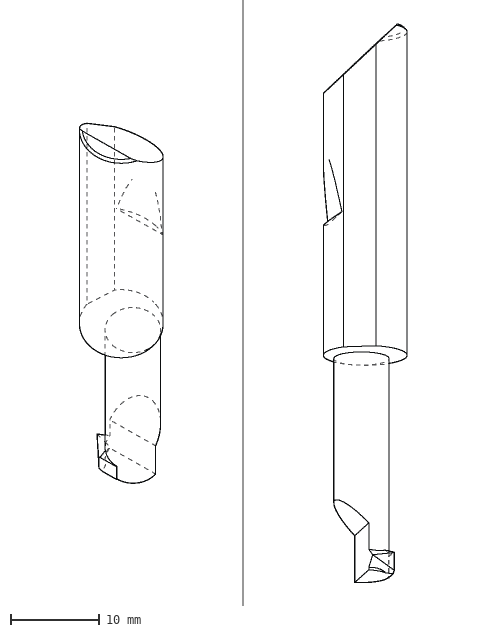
import cadquery as cq
import math

length = 63.5
shank_radius = 4.75
shank_bottom = 25.4
end_chamfer = 0.3
slope_start_y = -2.9

flat_half_angle = 23.0
flat_direction = 180.0 - flat_half_angle
flat_distance = shank_radius * math.cos(math.radians(flat_half_angle))

notch_floor_y = 3.55
notch_floor_z = 41.2
notch_top_z = 48.8
notch_bottom_z = 40.45

neck_radius = 3.2
neck_x = shank_radius - neck_radius
neck_front_depth = 3.1
relief_z = 5.45

tip_x = -3.35
tip_z = 1.35
tip_slope = 0.6
tip_top = 2.9
tip_clearance = 0.45
tip_front_x = -0.9


def x_prism(points):
    """Cutter with a YZ outline, reaching across the full shank width."""
    return cq.Workplane("YZ").polyline(points).close().extrude(shank_radius, both=True)


def make_shank():
    height = length - shank_bottom
    shank = cq.Workplane("XY").workplane(offset=shank_bottom).circle(shank_radius).extrude(height)
    shank = shank.faces(">Z").chamfer(end_chamfer)

    flat_cutter = (
        cq.Workplane("XY")
        .box(shank_radius, 2 * shank_radius, length, centered=(False, True, False))
        .translate((flat_distance, 0, 0))
        .rotate((0, 0, 0), (0, 0, 1), flat_direction)
    )
    slope_drop = shank_radius - slope_start_y
    slope_cutter = x_prism([
        (slope_start_y, length),
        (shank_radius, length - slope_drop),
        (shank_radius, length),
    ])
    notch_cutter = x_prism([
        (shank_radius, notch_top_z),
        (notch_floor_y, notch_floor_z),
        (shank_radius, notch_bottom_z),
    ])
    return shank.cut(flat_cutter).cut(slope_cutter).cut(notch_cutter)


def make_neck():
    neck = (
        cq.Workplane("XY")
        .moveTo(shank_radius, 0)
        .threePointArc((neck_x, neck_radius), (neck_x - neck_radius, 0))
        .threePointArc((neck_x, -neck_front_depth), (shank_radius, 0))
        .close()
        .extrude(shank_bottom)
    )
    relief_cutter = x_prism([
        (0, 0),
        (0, relief_z),
        (neck_radius, relief_z + neck_radius),
        (neck_radius, 0),
    ])
    return neck.cut(relief_cutter)


def tip_section(clearance):
    """Pointed XZ outline of the tip, with its point set back for clearance."""
    point_x = tip_x + clearance / tip_slope
    top = tip_top - clearance
    return [
        (point_x, tip_z),
        (point_x + (top - tip_z) / tip_slope, top),
        (neck_x, top),
        (neck_x, 0),
        (point_x + tip_z / tip_slope, 0),
    ]


def make_tip():
    wedge = (
        cq.Workplane("XZ")
        .polyline(tip_section(0)).close()
        .workplane(offset=neck_radius)
        .polyline(tip_section(tip_clearance)).close()
        .loft(ruled=True)
    )
    plan = (
        cq.Workplane("XY")
        .polyline([(tip_x, 0), (tip_front_x, -neck_radius), (neck_x, -neck_radius), (neck_x, 0)])
        .close()
        .extrude(tip_top)
    )
    return wedge.intersect(plan)


result = make_shank().union(make_neck()).union(make_tip())